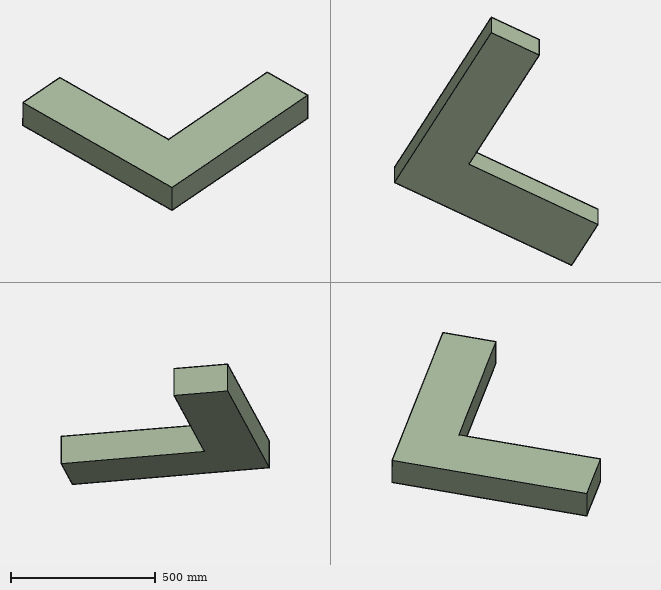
import math

import cadquery as cq

overall_length = 701.67
overall_depth = 698.62
overall_height = 103.93

leg_width = 190.5
leg_height = 101.6
tilt = math.atan((overall_height - leg_height) / overall_depth)

front_bottom_z = overall_depth * math.tan(tilt)

back_bottom_y = leg_width * math.cos(tilt)
back_bottom_z = front_bottom_z - leg_width * math.sin(tilt)
back_top_y = back_bottom_y + leg_height * math.sin(tilt)
back_top_z = back_bottom_z + leg_height * math.cos(tilt)


def cross_leg():
    """Tipped rectangular bar spanning the full length along X."""
    bar = cq.Workplane("XY").box(overall_length, leg_width, leg_height, centered=False)
    bar = bar.rotate((0, 0, 0), (1, 0, 0), -math.degrees(tilt))
    return bar.translate((0, 0, front_bottom_z))


def rear_leg():
    """Leg along Y with a level top, its underside continuing the slope of the cross leg."""
    profile = (
        cq.Workplane("YZ", origin=(overall_length - leg_width, 0, 0))
        .moveTo(back_bottom_y, back_bottom_z)
        .lineTo(overall_depth, 0)
        .lineTo(overall_depth, back_top_z)
        .lineTo(back_top_y, back_top_z)
        .close()
    )
    return profile.extrude(leg_width)


result = cross_leg().union(rear_leg())